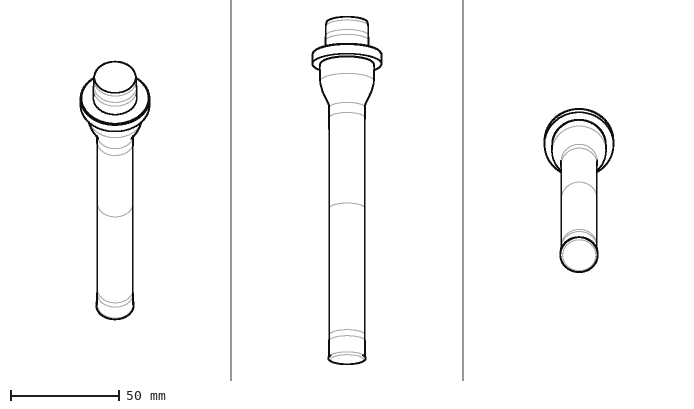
import cadquery as cq

TOTAL_HEIGHT = 163.0
TIP_RIM_HEIGHT = 1.1
TIP_FLARE_TOP = 1.6
LOWER_STEP_BOTTOM = 9.5
LOWER_STEP_TOP = 12.4
TAPER_BOTTOM = 73.5
TAPER_TOP = 117.2
NECK_BOTTOM = 122.1
NECK_LOWER_HANDLE = 125.5
NECK_UPPER_HANDLE = 129.7
COLLAR_BOTTOM = 134.8
FLANGE_BOTTOM = 143.1
FLANGE_TOP = 148.2
UPPER_STEP_BOTTOM = 154.4
UPPER_STEP_TOP = 156.8

TIP_FACE_DIAMETER = 15.3
TIP_RIM_DIAMETER = 17.3
LOWER_END_DIAMETER = 16.6
SHAFT_DIAMETER = 16.5
UPPER_SHAFT_DIAMETER = 16.6
COLLAR_DIAMETER = 25.0
FLANGE_DIAMETER = 32.0
SPIGOT_DIAMETER = 20.0
SPIGOT_END_DIAMETER = 19.7
SPIGOT_TOP_DIAMETER = 19.0

TIP_CONE_HEIGHT = 0.5
SPIGOT_CHAMFER_HEIGHT = 1.6
COLLAR_CHAMFER = 0.3
FLANGE_CHAMFER = 0.5


def revolve_profile(profile):
    """Turn a closed radius-height profile about the Z axis."""
    return profile.close().revolve(360, (0, 0, 0), (0, 1, 0))


def add_neck(profile):
    """Join the shaft to the collar by one smooth S-curve, vertical at both ends."""
    shaft_radius = UPPER_SHAFT_DIAMETER / 2
    collar_radius = COLLAR_DIAMETER / 2
    return profile.lineTo(shaft_radius, NECK_BOTTOM).bezier(
        [
            (shaft_radius, NECK_BOTTOM),
            (shaft_radius, NECK_LOWER_HANDLE),
            (collar_radius, NECK_UPPER_HANDLE),
            (collar_radius, COLLAR_BOTTOM),
        ]
    )


def make_stem():
    """Shaft with flared tip, collar and spigot, turned as one solid."""
    profile = (
        cq.Workplane("XZ")
        .lineTo(TIP_FACE_DIAMETER / 2, TIP_CONE_HEIGHT)
        .spline(
            [
                (TIP_RIM_DIAMETER / 2, TIP_RIM_HEIGHT),
                (LOWER_END_DIAMETER / 2, TIP_FLARE_TOP),
            ],
            tangents=[(1, 0), (0, 1)],
            includeCurrent=True,
        )
    )
    profile = (
        profile.lineTo(LOWER_END_DIAMETER / 2, LOWER_STEP_BOTTOM)
        .lineTo(SHAFT_DIAMETER / 2, LOWER_STEP_TOP)
        .lineTo(SHAFT_DIAMETER / 2, TAPER_BOTTOM)
        .lineTo(UPPER_SHAFT_DIAMETER / 2, TAPER_TOP)
    )
    profile = add_neck(profile)
    profile = (
        profile.lineTo(COLLAR_DIAMETER / 2, FLANGE_BOTTOM - COLLAR_CHAMFER)
        .lineTo(COLLAR_DIAMETER / 2 - COLLAR_CHAMFER, FLANGE_BOTTOM)
        .lineTo(SPIGOT_DIAMETER / 2, FLANGE_BOTTOM)
        .lineTo(SPIGOT_DIAMETER / 2, UPPER_STEP_BOTTOM)
        .lineTo(SPIGOT_END_DIAMETER / 2, UPPER_STEP_TOP)
        .lineTo(SPIGOT_END_DIAMETER / 2, TOTAL_HEIGHT - SPIGOT_CHAMFER_HEIGHT)
        .lineTo(SPIGOT_TOP_DIAMETER / 2, TOTAL_HEIGHT)
        .lineTo(0, TOTAL_HEIGHT)
    )
    return revolve_profile(profile)


def make_flange_ring():
    """Ring around the spigot, with its upper outer edge chamfered."""
    return (
        cq.Workplane("XY", origin=(0, 0, FLANGE_BOTTOM))
        .circle(FLANGE_DIAMETER / 2)
        .extrude(FLANGE_TOP - FLANGE_BOTTOM)
        .edges(">Z")
        .chamfer(FLANGE_CHAMFER)
        .faces(">Z")
        .workplane()
        .hole(SPIGOT_DIAMETER)
    )


stem = make_stem()
flange_ring = make_flange_ring()
result = cq.Compound.makeCompound([stem.val(), flange_ring.val()])